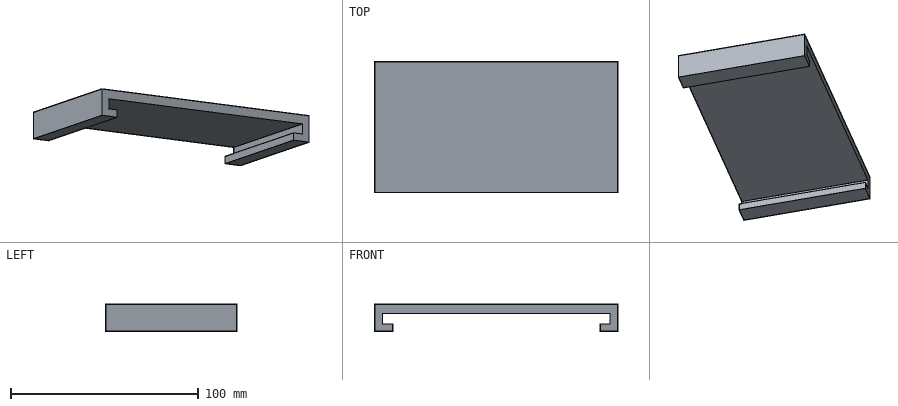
import cadquery as cq

length = 130.0
width = 70.0
height = 14.5

plate_thickness = 5.0
wall_thickness = 4.25
lip_thickness = 4.0

left_lip_reach = 9.75
right_lip_reach = 9.5

half_length = length / 2
inner_half = half_length - wall_thickness
plate_underside = height - plate_thickness


def side_points(lip_reach):
    """Section points of the +X side, from the top corner round to the plate underside."""
    lip_edge = half_length - lip_reach
    return [
        (half_length, height),
        (half_length, 0),
        (lip_edge, 0),
        (lip_edge, lip_thickness),
        (inner_half, lip_thickness),
        (inner_half, plate_underside),
    ]


def channel_profile():
    """C-shaped section in the XZ plane, open between the two lips."""
    right_side = side_points(right_lip_reach)
    left_side = [(-x, z) for x, z in reversed(side_points(left_lip_reach))]
    return cq.Workplane("XZ").polyline(right_side + left_side).close()


result = channel_profile().extrude(width / 2, both=True)